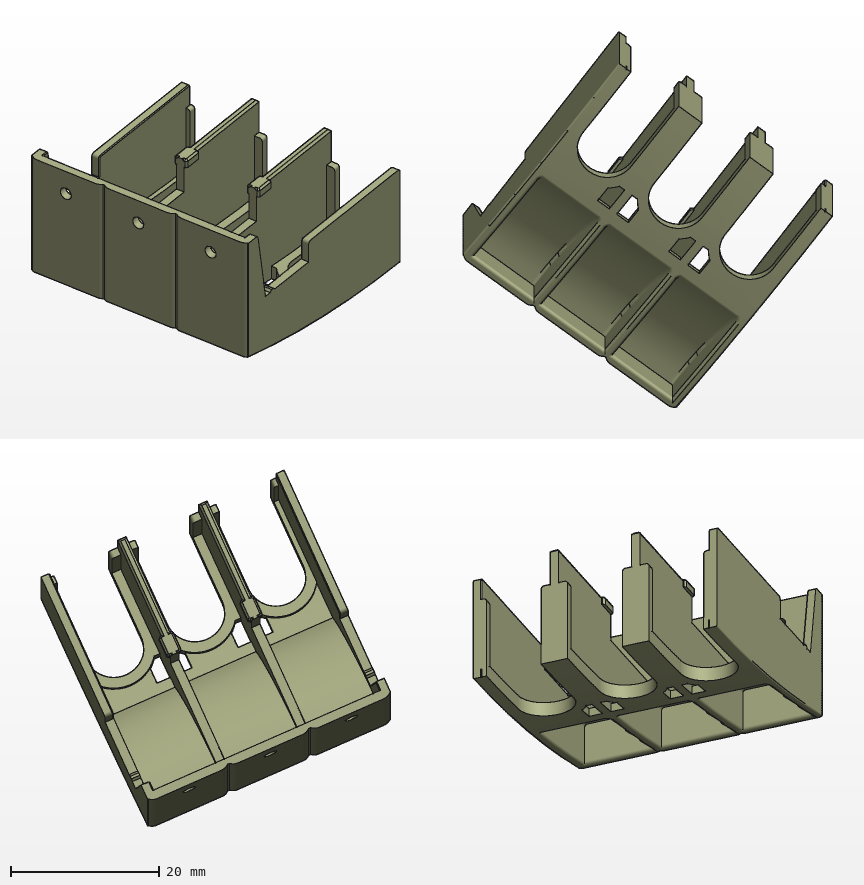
import cadquery as cq
import math


width = 36.0
depth = 35.7
height = 23.0
bay_count = 3
pitch = width / bay_count
wall = 1.25

side_top = 15.4
notch_z = 12.05
notch_back = 14.45
wing_foot = 4.4
wing_tip = 2.6
corner_radius = 0.5
rim_chamfer = 0.15
bump_start = 5.47
bump_end = 6.5
bump_height = 0.32

divider_width = 1.25
divider_top = 17.4
divider_front = 18.2
divider_chamfer = 0.32
head_width = 2.12
head_length = 3.1
head_height = 1.3
head_chamfer = 0.3

bottom_radius = 149.75
floor_thickness = 1.22
pad_thickness = 2.05
bottom_edge_radius = 0.2

arch_radius = 18.0
arch_back = 16.7
arch_thickness = 0.85
pocket_end_angle = 25.0
pocket_fillet = 0.45

slot_radius = 4.05
pad_radius = 5.55
slot_center_y = 24.95
window_width = 5.2
window_front = 18.25
window_back = 21.7

post_depth = 1.1
post_fillet = 0.45

panel_half_flat = 4.77
panel_edge_radius = 1.62
groove_width = 0.3
hole_diameter = 1.8
hole_z = 19.35

margin = 0.35

bay_centers = [(i - (bay_count - 1) / 2) * pitch for i in range(bay_count)]
divider_centers = [(i - bay_count / 2) * pitch for i in range(1, bay_count)]
inner_half = width / 2 - wall


def bottom_z(y, offset=0.0):
    """Height at y of the curve that runs the given offset above the bottom."""
    return bottom_radius - math.sqrt((bottom_radius - offset) ** 2 - (depth - y) ** 2)


def prism(outline, x_from, x_to):
    """Extrude an outline drawn in (Y, Z) from x_from to x_to."""
    return outline.extrude(x_to - x_from).translate((x_from, 0, 0))


def above_bottom(y_front):
    """Start an outline with the bottom curve, drawn from y_front to the back."""
    y_middle = (y_front + depth) / 2
    return (
        cq.Workplane("YZ")
        .moveTo(y_front, bottom_z(y_front))
        .threePointArc((y_middle, bottom_z(y_middle)), (depth, 0))
    )


def block(x_from, x_to, y_from, y_to, z_from, z_to):
    """Box between the given limits."""
    size = (x_to - x_from, y_to - y_from, z_to - z_from)
    return cq.Workplane("XY").box(*size, centered=False).translate((x_from, y_from, z_from))


arch_start_z = bottom_z(arch_back, floor_thickness)
arch_center_z = arch_start_z - math.sqrt(arch_radius**2 - (arch_back - wall) ** 2)


def arch_point(radius, y):
    """Point at y on the circle of the given radius about the arch axis."""
    return y, arch_center_z + math.sqrt(radius**2 - (y - wall) ** 2)


def edges_near(y, z):
    """Selector for edges that run along X close to the given Y and Z."""
    low_corner = (-width, y - margin, z - margin)
    high_corner = (width, y + margin, z + margin)
    return cq.selectors.BoxSelector(low_corner, high_corner)


def side_wall():
    """Left side wall with its notch, snap bump and front wing."""
    outline = (
        above_bottom(0)
        .lineTo(depth, side_top)
        .lineTo(notch_back, side_top)
        .lineTo(notch_back, notch_z)
        .lineTo(bump_end, notch_z)
        .lineTo(bump_end - bump_height, notch_z + bump_height)
        .lineTo(bump_start + bump_height, notch_z + bump_height)
        .lineTo(bump_start, notch_z)
        .lineTo(wing_foot, notch_z)
        .lineTo(wing_tip, height)
        .lineTo(0, height)
        .close()
    )
    plate = prism(outline, -width / 2, -inner_half)
    corners = edges_near(depth, side_top) + edges_near(notch_back, side_top) + edges_near(wing_tip, height)
    plate = plate.edges("|X").edges(corners).fillet(corner_radius)
    rim = cq.selectors.BoxSelector(
        (-width, -margin, side_top - margin),
        (width, depth + margin, height + margin),
    )
    plate = plate.faces(">X").edges(rim).chamfer(rim_chamfer)
    return plate.faces("<X").edges("%CIRCLE").edges("<Z").fillet(bottom_edge_radius)


def divider(x):
    """Divider with a low front stretch, a tall back stretch and a wider head."""
    x_from = x - divider_width / 2
    x_to = x + divider_width / 2
    low = prism(above_bottom(0).lineTo(depth, notch_z).lineTo(0, notch_z).close(), x_from, x_to)
    tall = block(x_from, x_to, divider_front, depth, notch_z, divider_top)
    tall = tall.faces(">Z").edges("|Y or >Y").chamfer(divider_chamfer)
    head = block(
        x - head_width / 2,
        x + head_width / 2,
        divider_front,
        divider_front + head_length,
        divider_top - head_height,
        divider_top,
    )
    head = head.edges("|Z").chamfer(head_chamfer).faces(">Z").chamfer(head_chamfer)
    return low.union(tall).union(head)


def floor():
    """Floor that follows the bottom at the back and arches up to the front wall."""
    back_middle = (depth + arch_back) / 2
    arch_middle = (wall + arch_back) / 2
    outline = (
        above_bottom(0)
        .lineTo(depth, floor_thickness)
        .threePointArc((back_middle, bottom_z(back_middle, floor_thickness)), (arch_back, arch_start_z))
        .threePointArc(arch_point(arch_radius, arch_middle), arch_point(arch_radius, wall))
        .lineTo(0, arch_center_z + arch_radius)
        .close()
    )
    return prism(outline, -inner_half, inner_half)


def slot_shape(x, radius):
    """U-shaped column open to the back."""
    column = cq.Workplane("XY").center(x, slot_center_y).circle(radius).extrude(height)
    return column.union(block(x - radius, x + radius, slot_center_y, depth, 0, height))


def raised_pads():
    """Thicker floor around the slots."""
    y_middle = (depth + arch_back) / 2
    layer = prism(
        above_bottom(arch_back)
        .lineTo(depth, pad_thickness)
        .threePointArc(
            (y_middle, bottom_z(y_middle, pad_thickness)),
            (arch_back, bottom_z(arch_back, pad_thickness)),
        )
        .close(),
        -inner_half,
        inner_half,
    )
    columns = block(-inner_half, inner_half, slot_center_y, depth, 0, height)
    for x in bay_centers:
        columns = columns.union(slot_shape(x, pad_radius))
    for x in divider_centers:
        bridge = block(x - pad_radius / 2, x + pad_radius / 2, window_back, depth, 0, height)
        columns = columns.union(bridge)
    return layer.intersect(columns)


def posts(x):
    """Pair of posts at the back that frame one slot."""
    pair = cq.Workplane("XY")
    for side in (-1, 1):
        inner = x + side * slot_radius
        outer = x + side * pitch / 2
        x_from = min(inner, outer)
        x_to = max(inner, outer)
        post = block(x_from, x_to, depth - post_depth, depth, floor_thickness, notch_z)
        slot_edge = "<X" if side > 0 else ">X"
        pair = pair.union(post.faces(">Z").edges(slot_edge).fillet(post_fillet))
    return pair


def window(x):
    """Openings through the floor on both sides of one divider."""
    x_from = x - window_width / 2
    x_to = x + window_width / 2
    opening = block(x_from, x_to, window_front, window_back, 0, notch_z)
    opening = opening.cut(block(x - divider_width / 2, x + divider_width / 2, 0, depth, 0, height))
    for center in bay_centers:
        opening = opening.cut(slot_shape(center, pad_radius))
    return opening


def pocket(x):
    """Hollow under the arch, as wide as one bay."""
    radius = arch_radius - arch_thickness
    y_end = wall + radius * math.cos(math.radians(pocket_end_angle))
    half = (pitch - divider_width) / 2
    x_from = max(x - half, -inner_half)
    x_to = min(x + half, inner_half)
    outline = (
        cq.Workplane("YZ")
        .moveTo(*arch_point(radius, wall))
        .threePointArc(arch_point(radius, (wall + y_end) / 2), arch_point(radius, y_end))
        .lineTo(y_end, -margin)
        .lineTo(wall, -margin)
        .close()
    )
    return prism(outline, x_from, x_to).edges("%CIRCLE").fillet(pocket_fillet)


def front_groove(x):
    """Cutter for the rounded edges of two neighbouring panels and the flat between them."""
    flat = pitch / 2 - panel_half_flat
    run = flat - groove_width / 2
    drop = panel_edge_radius - math.sqrt(panel_edge_radius**2 - run**2)
    middle_drop = panel_edge_radius - math.sqrt(panel_edge_radius**2 - (run / 2) ** 2)
    return (
        cq.Workplane("XY")
        .moveTo(x - flat, 0)
        .threePointArc((x - flat + run / 2, middle_drop), (x - groove_width / 2, drop))
        .lineTo(x + groove_width / 2, drop)
        .threePointArc((x + flat - run / 2, middle_drop), (x + flat, 0))
        .close()
        .extrude(height)
    )


left_wall = side_wall()
front_half = inner_half + rim_chamfer
front_wall = block(-front_half, front_half, 0, wall, bottom_z(0), height)
body = floor().union(front_wall).union(left_wall).union(left_wall.mirror("YZ")).union(raised_pads())
for x in divider_centers:
    body = body.union(divider(x))
for x in bay_centers:
    body = body.union(posts(x))

edge_gap = 0.05
front_bottom = cq.selectors.BoxSelector(
    (-width, -edge_gap, bottom_z(0) - edge_gap),
    (width, edge_gap, bottom_z(0) + bottom_edge_radius),
)
body = body.edges(front_bottom).fillet(bottom_edge_radius)

for x in bay_centers:
    hole = cq.Workplane("XZ").center(x, hole_z).circle(hole_diameter / 2).extrude(-wall)
    body = body.cut(pocket(x)).cut(hole)
pocket_rims = cq.selectors.BoxSelector(
    (-inner_half - margin, wall - margin, 0),
    (inner_half + margin, arch_back, bottom_z(wall) + margin),
)
body = body.edges(pocket_rims).fillet(pocket_fillet)

for x in bay_centers:
    body = body.cut(slot_shape(x, slot_radius))
for x in divider_centers:
    body = body.cut(window(x))
for x in [-width / 2, *divider_centers, width / 2]:
    body = body.cut(front_groove(x))

result = body